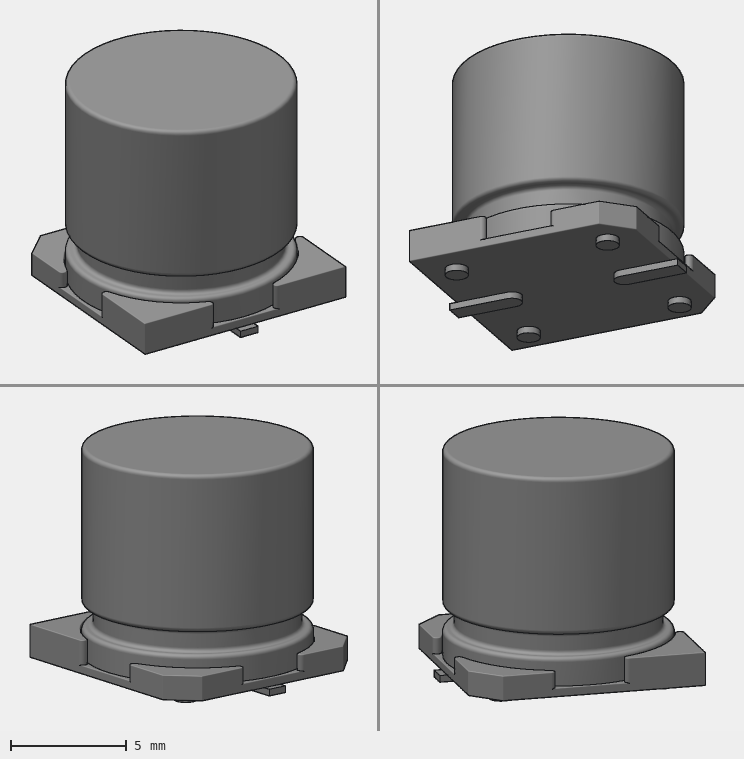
import cadquery as cq

total_height = 10.0
lead_span = 10.9

can_radius = 5.0
groove_radius = 4.5
groove_bottom = 1.95
groove_top = 2.96
can_round = 0.2

base_width = 10.3
base_bottom = 0.3
floor_height = 0.7
low_corner_height = 1.42
high_corner_height = 1.8
corner_cut = 1.22
notch_half_width = 1.56
can_clearance = 0.05
tip_round = 0.2
edge_round = 0.04

lead_width = 0.9
lead_inner_end = 2.23
foot_diameter = 1.0
foot_offset = 3.61

half_width = base_width / 2


def make_can():
    """Turned can with rounded rim, groove lips and groove roots."""
    body = (
        cq.Workplane("XY", origin=(0, 0, floor_height))
        .circle(can_radius)
        .extrude(total_height - floor_height)
    )
    groove = (
        cq.Workplane("XY", origin=(0, 0, groove_bottom))
        .circle(can_radius)
        .circle(groove_radius)
        .extrude(groove_top - groove_bottom)
    )
    body = body.cut(groove)
    round_edges = body.edges("%CIRCLE").filter(lambda edge: edge.Center().z > floor_height + can_round)
    return round_edges.fillet(can_round)


def plate(bottom, top):
    """Square plate whose two -X corners are cut at 45 degrees, with softened upright edges."""
    square = (
        cq.Workplane("XY", origin=(0, 0, bottom))
        .rect(base_width, base_width)
        .extrude(top - bottom)
    )
    return square.edges("|Z and <X").chamfer(corner_cut).edges("|Z").fillet(edge_round)


def make_corner(x_side, y_side, top):
    """Raised corner that wraps the can and ends in two rounded tips."""
    bottom = (base_bottom + floor_height) / 2
    center = (notch_half_width + half_width) / 2
    block_width = half_width - notch_half_width
    block = (
        cq.Workplane("XY", origin=(x_side * center, y_side * center, bottom))
        .rect(block_width, block_width)
        .extrude(top - bottom)
    )
    seat = (
        cq.Workplane("XY", origin=(0, 0, bottom))
        .circle(can_radius + can_clearance)
        .extrude(top - bottom)
    )
    corner = plate(bottom, top).intersect(block).cut(seat)

    def is_tip(edge):
        middle = edge.Center()
        return min(abs(middle.x), abs(middle.y)) < notch_half_width + edge_round

    corner = corner.edges("|Z").filter(is_tip).fillet(tip_round)
    return corner.faces(">Z").edges().fillet(edge_round)


def make_base():
    """Floor plate with low corners on the -X side and high corners on the +X side."""
    base = plate(base_bottom, floor_height).faces("<Z or >Z").edges().fillet(edge_round)
    for x_side, top in ((-1, low_corner_height), (1, high_corner_height)):
        for y_side in (-1, 1):
            base = base.union(make_corner(x_side, y_side, top))
    return base


def make_lead(x_side):
    """Flat lead running out along X, with a semicircular inner end."""
    half_lead = lead_width / 2
    arc_start = x_side * (lead_inner_end + half_lead)
    outer_end = x_side * lead_span / 2
    return (
        cq.Workplane("XY")
        .moveTo(outer_end, half_lead)
        .lineTo(arc_start, half_lead)
        .threePointArc((x_side * lead_inner_end, 0), (arc_start, -half_lead))
        .lineTo(outer_end, -half_lead)
        .close()
        .extrude(base_bottom)
    )


def make_feet():
    """Four round feet under the plate corners."""
    return (
        cq.Workplane("XY")
        .rect(2 * foot_offset, 2 * foot_offset, forConstruction=True)
        .vertices()
        .circle(foot_diameter / 2)
        .extrude(base_bottom)
    )


result = make_base().union(make_can()).union(make_feet())
for side in (-1, 1):
    result = result.union(make_lead(side))